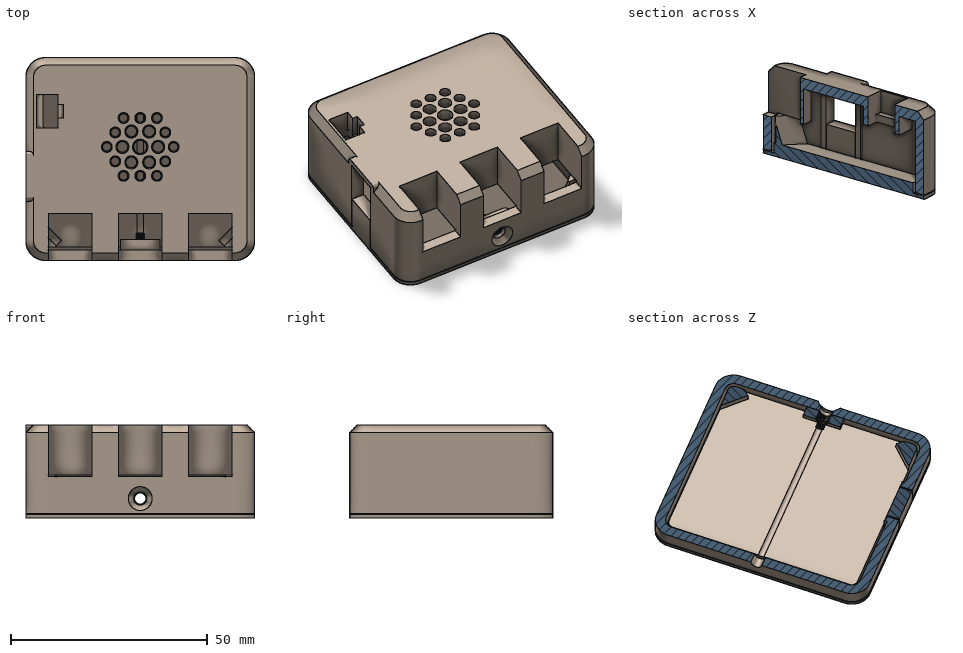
import cadquery as cq
import math

LENGTH = 58.15
WIDTH = 51.6
HEIGHT = 23.7
CORNER_R = 5.0
TOP_CHAMFER = 2.0
WALL = 2.75
CEILING_Z = 20.7
PLATE_T = 1.0
CLEARANCE = 0.205

LEFT_X = -LENGTH / 2
FRONT_Y = -WIDTH / 2
SKIRT_Z = PLATE_T + CLEARANCE

FLOOR_Z = 3.8
FLOOR_GAP = 0.7
FLOOR_INSET = WALL + FLOOR_GAP

POCKET_W = 11.05
POCKET_PITCH = 17.8
POCKET_DEPTH = 12.0
SILL_Z = 10.6
SHROUD_Z = 11.0
SHROUD_WALL = 1.0
POCKET_XS = [-POCKET_PITCH, 0, POCKET_PITCH]
POCKET_BACK_Y = FRONT_Y + POCKET_DEPTH

WINDOW_Y = -4.4
WINDOW_W = 9.55
WINDOW_TOP = 22.15
WINDOW_DEPTH = 4.0
FRAME_T = 3.45
PAD_W = 12.7
PAD_R = 1.0
TAB_TOP = 10.6

SWITCH_Y = 12.15
SWITCH_L = 8.6
SWITCH_X0 = -26.4
SWITCH_LEDGE_X = -24.65
SWITCH_X1 = -20.85
SWITCH_R = 0.45
NOTCH_L = 3.5
NOTCH_W = 1.35
SWITCH_LEDGE_Z = 17.8
HOLDER_Z = 15.7
HOLDER_WALL = 1.45

GRILLE_Y = 3.1
OUTER_RING_R = 8.5
INNER_RING_R = 4.55
CENTER_HOLE_D = 3.9
INNER_HOLE_D = 3.3
OUTER_HOLE_D = 2.75
HOLE_TAPER = 0.6

SCREW_Z = 5.0
BORE_D = 2.9
THREAD_D = 3.3
THREAD_PITCH = 0.5
THREAD_END_Y = -18.8
SINK_D = 6.05
SINK_DEPTH = 1.5
BLOCK_W = 10.1
BLOCK_T = 2.7
BLOCK_R = 1.85
BLOCK_TOP = 8.8

BLOCK_FOOT_X = 20.0
BLOCK_FOOT_Y = -20.7
BLOCK_SLOPE_RUN = 1.9
BLOCK_REACH = 11.6


def box(x0, x1, y0, y1, z0, z1):
    """Box given by its limits along each axis."""
    return cq.Workplane("XY").box(x1 - x0, y1 - y0, z1 - z0, centered=False).translate((x0, y0, z0))


def rounded_slab(inset, z0, z1):
    """Case outline moved inwards by inset, between two heights."""
    slab = cq.Workplane("XY").workplane(offset=z0).rect(LENGTH - 2 * inset, WIDTH - 2 * inset)
    return slab.extrude(z1 - z0).edges("|Z").fillet(CORNER_R - inset)


def y_cylinder(diameter, y0, y1):
    """Cylinder on the screw axis."""
    return cq.Workplane("XZ", origin=(0, y0, SCREW_Z)).circle(diameter / 2).extrude(y0 - y1)


def y_cone(d0, d1, y0, y1):
    """Cone on the screw axis, d0 at y0 and d1 at y1."""
    cone = cq.Solid.makeCone(d0 / 2, d1 / 2, y1 - y0, cq.Vector(0, y0, SCREW_Z), cq.Vector(0, 1, 0))
    return cq.Workplane(obj=cone)


def hollow_shell():
    outer = rounded_slab(0, SKIRT_Z, HEIGHT).faces(">Z").chamfer(TOP_CHAMFER)
    return outer.cut(rounded_slab(WALL, SKIRT_Z, CEILING_Z))


def window_pad():
    """Pad that fills the chamfer above the window."""
    pad = box(LEFT_X, LEFT_X + TOP_CHAMFER, WINDOW_Y - PAD_W / 2, WINDOW_Y + PAD_W / 2,
              HEIGHT - TOP_CHAMFER, HEIGHT)
    return pad.edges("|X and >Z").fillet(PAD_R)


def window_frame():
    """Thicker stretch of the side wall around the window."""
    return box(LEFT_X + WALL, LEFT_X + FRAME_T, WINDOW_Y - PAD_W / 2, WINDOW_Y + PAD_W / 2,
               SKIRT_Z, CEILING_Z)


def window_cut():
    """Window open to the bottom edge; it runs past the frame, notching the ceiling."""
    return box(LEFT_X, LEFT_X + WINDOW_DEPTH, WINDOW_Y - WINDOW_W / 2, WINDOW_Y + WINDOW_W / 2,
               SKIRT_Z, WINDOW_TOP)


def pocket_shroud(x):
    """Walls that hang from the ceiling around a pocket."""
    half = POCKET_W / 2 + SHROUD_WALL
    return box(x - half, x + half, FRONT_Y + WALL, POCKET_BACK_Y + SHROUD_WALL, SHROUD_Z, CEILING_Z)


def pocket_cut(x):
    return box(x - POCKET_W / 2, x + POCKET_W / 2, FRONT_Y, POCKET_BACK_Y, SILL_Z, HEIGHT)


def switch_holder():
    half = SWITCH_L / 2 + HOLDER_WALL
    return box(LEFT_X + WALL, SWITCH_X1 + NOTCH_W + HOLDER_WALL, SWITCH_Y - half, SWITCH_Y + half,
               HOLDER_Z, CEILING_Z)


def switch_cut():
    """Opening with a side notch, narrowed lower down to a rounded rectangle."""
    half = SWITCH_L / 2
    upper = box(SWITCH_X0, SWITCH_X1, SWITCH_Y - half, SWITCH_Y + half, SWITCH_LEDGE_Z, HEIGHT)
    lower = box(SWITCH_LEDGE_X, SWITCH_X1, SWITCH_Y - half, SWITCH_Y + half, HOLDER_Z, SWITCH_LEDGE_Z)
    notch = box(SWITCH_X1, SWITCH_X1 + NOTCH_W, SWITCH_Y - NOTCH_L / 2, SWITCH_Y + NOTCH_L / 2,
                SWITCH_LEDGE_Z, HEIGHT)
    return upper.union(lower.edges("|Z").fillet(SWITCH_R)).union(notch)


def hexagon_corners(radius):
    angles = [math.radians(60 * i) for i in range(6)]
    return [(radius * math.cos(a), radius * math.sin(a)) for a in angles]


def grille_holes():
    """Tapered holes: one centre hole, six around it, twelve on an outer hexagon."""
    corners = hexagon_corners(OUTER_RING_R)
    sides = zip(corners, corners[1:] + corners[:1])
    midpoints = [((ax + bx) / 2, (ay + by) / 2) for (ax, ay), (bx, by) in sides]
    holes = [(0, 0, CENTER_HOLE_D)]
    holes += [(x, y, INNER_HOLE_D) for x, y in hexagon_corners(INNER_RING_R)]
    holes += [(x, y, OUTER_HOLE_D) for x, y in corners + midpoints]
    depth = HEIGHT - CEILING_Z
    return [
        cq.Solid.makeCone((d - HOLE_TAPER) / 2, d / 2, depth, cq.Vector(x, GRILLE_Y + y, CEILING_Z))
        for x, y, d in holes
    ]


def make_housing():
    body = hollow_shell().union(window_pad()).union(window_frame()).union(switch_holder())
    for x in POCKET_XS:
        body = body.union(pocket_shroud(x))
    for x in POCKET_XS:
        body = body.cut(pocket_cut(x))
    body = body.cut(window_cut()).cut(switch_cut())
    for hole in grille_holes():
        body = body.cut(cq.Workplane(obj=hole))
    body = body.cut(y_cone(SINK_D, THREAD_D, FRONT_Y, FRONT_Y + SINK_DEPTH))
    body = body.cut(y_cylinder(THREAD_D, FRONT_Y, FRONT_Y + WALL))
    return body.cut(y_cylinder(BORE_D, 0, WIDTH / 2))


def screw_block():
    y0 = FRONT_Y + WALL
    block = box(-BLOCK_W / 2, BLOCK_W / 2, y0, y0 + BLOCK_T, PLATE_T, BLOCK_TOP)
    return block.edges("|Y and >Z").fillet(BLOCK_R)


def closing_tab():
    half = WINDOW_W / 2 - CLEARANCE
    return box(LEFT_X, LEFT_X + FRAME_T, WINDOW_Y - half, WINDOW_Y + half, 0, TAB_TOP)


def corner_block(side):
    """Block in a front corner whose steep face looks inwards; side is -1 or +1."""
    plane = cq.Plane(origin=(BLOCK_FOOT_X, BLOCK_FOOT_Y, FLOOR_Z), xDir=(1, -1, 0), normal=(-1, -1, 0))
    rise = SHROUD_Z - FLOOR_Z
    profile = [(0, 0), (BLOCK_SLOPE_RUN, rise), (BLOCK_REACH, rise), (BLOCK_REACH, 0)]
    block = cq.Workplane(plane).polyline(profile).close().extrude(-BLOCK_REACH)
    block = block.intersect(rounded_slab(FLOOR_INSET, FLOOR_Z, SHROUD_Z))
    return block if side > 0 else block.mirror("YZ")


def thread_grooves():
    """Ring grooves along the threaded stretch of the bore."""
    y0 = FRONT_Y + WALL
    count = int((THREAD_END_Y - y0) / THREAD_PITCH)
    half = THREAD_PITCH / 2
    rings = []
    for i in range(count):
        y = THREAD_END_Y - (i + 1) * THREAD_PITCH
        rings.append(y_cone(BORE_D, THREAD_D, y, y + half))
        rings.append(y_cone(THREAD_D, BORE_D, y + half, y + THREAD_PITCH))
    return rings


def make_base():
    body = rounded_slab(0, 0, PLATE_T).union(rounded_slab(FLOOR_INSET, PLATE_T, FLOOR_Z))
    body = body.union(screw_block()).union(closing_tab())
    for side in (-1, 1):
        body = body.union(corner_block(side))
    body = body.cut(y_cylinder(BORE_D, FRONT_Y, WIDTH / 2))
    for ring in thread_grooves():
        body = body.cut(ring)
    return body


housing = make_housing()
base = make_base()

result = cq.Compound.makeCompound([housing.val(), base.val()])